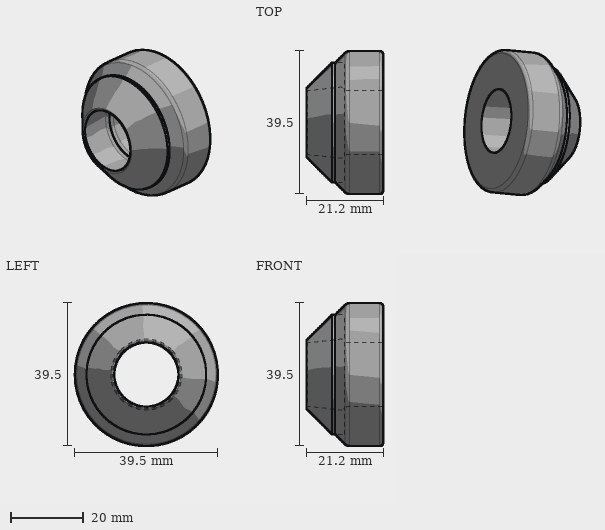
import cadquery as cq
import math

OUTER_RADIUS = 19.75
LENGTH = 21.2
BORE_RADIUS = 8.8

NOSE_TIP_RADIUS = 9.5
NOSE_LIP_RADIUS = (NOSE_TIP_RADIUS - BORE_RADIUS) / 2
SPIGOT_RADIUS = 16.5
SPIGOT_START = NOSE_LIP_RADIUS / 2 + 6.87
SHOULDER = 7.95

WIDE_RADIUS = 19.6 / 2
STEP_START = 9.45
STEP_END = 11.5
STEP_WIDTH = (STEP_END - STEP_START) / 2
STEP_HEIGHT = (WIDE_RADIUS - BORE_RADIUS) / 2
STEP_ANGLE = 2 * math.atan(STEP_HEIGHT / STEP_WIDTH)
STEP_ROUND = STEP_WIDTH / math.sin(STEP_ANGLE)
JOINT = STEP_START + STEP_WIDTH
JOINT_RADIUS = BORE_RADIUS + STEP_HEIGHT
HALF_ARC_WIDTH = STEP_ROUND * math.sin(STEP_ANGLE / 2)
HALF_ARC_HEIGHT = STEP_ROUND * (1 - math.cos(STEP_ANGLE / 2))

CONE_ROUND = 1.78
REAR_ROUND = 1.0


def revolve_about_x(profile):
    return profile.close().revolve(360, (0, 0, 0), (1, 0, 0))


def make_nose():
    """45 degree cone on a cylindrical spigot, with a rounded front lip and a conical bore."""
    lip_middle = BORE_RADIUS + NOSE_LIP_RADIUS
    cone_start = SPIGOT_START - (SPIGOT_RADIUS - NOSE_TIP_RADIUS)
    profile = (
        cq.Workplane("XY")
        .moveTo(NOSE_LIP_RADIUS, BORE_RADIUS)
        .threePointArc((0, lip_middle), (cone_start, NOSE_TIP_RADIUS))
        .lineTo(SPIGOT_START, SPIGOT_RADIUS)
        .lineTo(JOINT, SPIGOT_RADIUS)
        .lineTo(JOINT, JOINT_RADIUS)
        .threePointArc(
            (STEP_START + HALF_ARC_WIDTH, WIDE_RADIUS - HALF_ARC_HEIGHT),
            (STEP_START, WIDE_RADIUS),
        )
    )
    return revolve_about_x(profile)


def make_housing():
    """Rounded rim with a 45 degree cone and a recess for the nose spigot."""
    diagonal = CONE_ROUND * math.sin(math.radians(45))
    round_start_radius = OUTER_RADIUS - CONE_ROUND + diagonal
    round_start = SHOULDER + round_start_radius - SPIGOT_RADIUS
    round_end = round_start + diagonal
    rear_middle = REAR_ROUND * (1 - math.sin(math.radians(45)))
    round_middle = (
        round_end - CONE_ROUND * math.sin(math.radians(22.5)),
        OUTER_RADIUS - CONE_ROUND * (1 - math.cos(math.radians(22.5))),
    )
    profile = (
        cq.Workplane("XY")
        .moveTo(SHOULDER, SPIGOT_RADIUS)
        .lineTo(round_start, round_start_radius)
        .threePointArc(round_middle, (round_end, OUTER_RADIUS))
        .lineTo(LENGTH - REAR_ROUND, OUTER_RADIUS)
        .threePointArc(
            (LENGTH - rear_middle, OUTER_RADIUS - rear_middle),
            (LENGTH, OUTER_RADIUS - REAR_ROUND),
        )
        .lineTo(LENGTH, BORE_RADIUS)
        .lineTo(STEP_END, BORE_RADIUS)
        .threePointArc(
            (STEP_END - HALF_ARC_WIDTH, BORE_RADIUS + HALF_ARC_HEIGHT),
            (JOINT, JOINT_RADIUS),
        )
        .lineTo(JOINT, SPIGOT_RADIUS)
    )
    return revolve_about_x(profile)


nose = make_nose()
housing = make_housing()
result = cq.Compound.makeCompound([nose.val(), housing.val()])